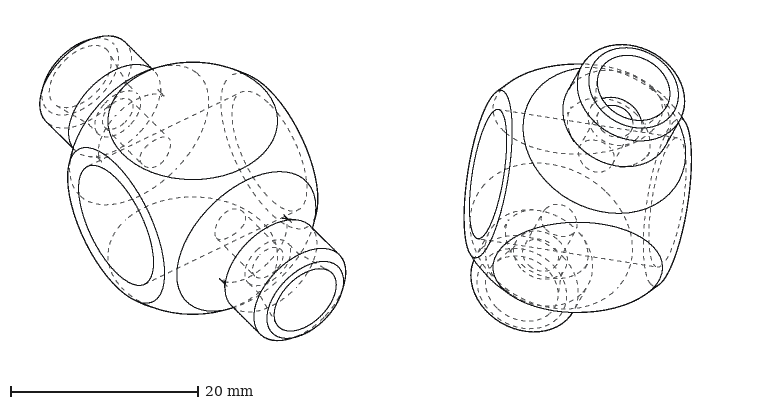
import cadquery as cq
import math

cube_side = 20.0
rounding_sphere_dia = 27.0
cross_bore_dia = 14.0

overall_length = 42.0
spigot_dia = 12.0
spigot_chamfer = 1.0
spigot_land_length = 5.4
neck_dia = 9.7
neck_cone_angle = 30.0
neck_blend_radius = 1.0

socket_mouth_dia = 8.1
socket_taper_angle = 12.0
tube_bore_dia = 6.0
socket_depth = 7.0
flow_bore_dia = 4.0

half_side = cube_side / 2
half_length = overall_length / 2


def tangent_of(angle):
    """Tangent of an angle given in degrees."""
    return math.tan(math.radians(angle))


def revolve_about_x(profile):
    """Turn a closed profile (x, radius) a full turn about the X axis."""
    return profile.close().revolve(360, (0, 0, 0), (1, 0, 0))


def make_body():
    """Cube whose edges and corners are cut back by a concentric sphere."""
    cube = cq.Workplane("XY").box(cube_side, cube_side, cube_side)
    return cube.intersect(cq.Workplane("XY").sphere(rounding_sphere_dia / 2))


def make_spigot():
    """Spigot on the +X side, with blended neck next to the body."""
    radius = spigot_dia / 2
    neck_radius = neck_dia / 2
    blend = neck_blend_radius

    land_end = half_length - spigot_chamfer
    land_start = land_end - spigot_land_length
    cone_start = land_start - (radius - neck_radius) / tangent_of(neck_cone_angle)

    half_angle = math.radians(neck_cone_angle / 2)
    full_angle = math.radians(neck_cone_angle)
    arc_start = cone_start - blend * math.tan(half_angle)
    arc_mid = (arc_start + blend * math.sin(half_angle), neck_radius + blend * (1 - math.cos(half_angle)))
    arc_end = (arc_start + blend * math.sin(full_angle), neck_radius + blend * (1 - math.cos(full_angle)))

    root_mid_offset = blend * (1 - math.sqrt(0.5))
    root_mid = (half_side + root_mid_offset, neck_radius + root_mid_offset)

    profile = (
        cq.Workplane("XY")
        .moveTo(0, 0)
        .lineTo(0, neck_radius + blend)
        .lineTo(half_side, neck_radius + blend)
        .threePointArc(root_mid, (half_side + blend, neck_radius))
        .lineTo(arc_start, neck_radius)
        .threePointArc(arc_mid, arc_end)
        .lineTo(land_start, radius)
        .lineTo(land_end, radius)
        .lineTo(half_length, radius - spigot_chamfer)
        .lineTo(half_length, 0)
    )
    return revolve_about_x(profile)


def make_socket():
    """Stepped cavity of the +X spigot, reaching into the cross bore."""
    mouth_radius = socket_mouth_dia / 2
    tube_radius = tube_bore_dia / 2
    flow_radius = flow_bore_dia / 2

    taper_length = (mouth_radius - tube_radius) / tangent_of(socket_taper_angle)
    taper_end = half_length - taper_length
    shoulder = half_length - socket_depth

    profile = (
        cq.Workplane("XY")
        .moveTo(0, 0)
        .lineTo(0, flow_radius)
        .lineTo(shoulder, flow_radius)
        .lineTo(shoulder, tube_radius)
        .lineTo(taper_end, tube_radius)
        .lineTo(half_length, mouth_radius)
        .lineTo(half_length, 0)
    )
    return revolve_about_x(profile)


def make_cross_bore():
    """Through bore along Y."""
    return cq.Workplane("XZ").circle(cross_bore_dia / 2).extrude(half_side, both=True)


spigot = make_spigot()
socket = make_socket()

result = make_body()
for turn in (0, 180):
    result = result.union(spigot.rotate((0, 0, 0), (0, 0, 1), turn))
for turn in (0, 180):
    result = result.cut(socket.rotate((0, 0, 0), (0, 0, 1), turn))
result = result.cut(make_cross_bore())